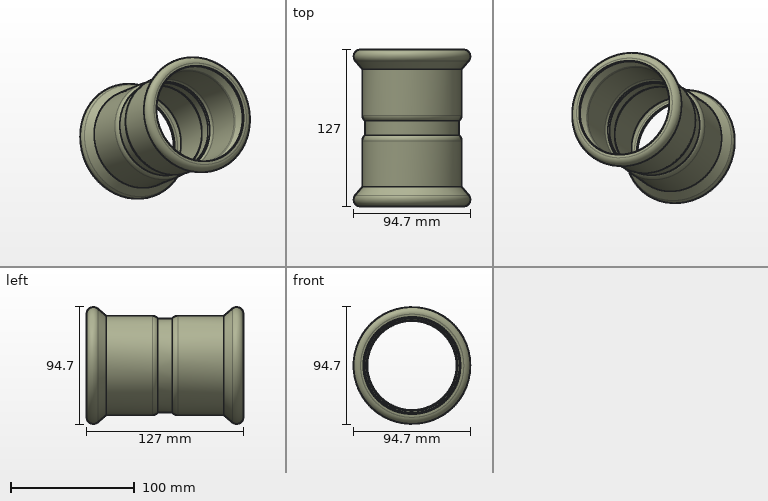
import cadquery as cq
import math


length = 127.0
half_length = length / 2
collar_end_depth = 15.9
body_end_depth = 53.2
shoulder_length = 4.6
waist_start_depth = body_end_depth + shoulder_length

body_radius = 80.7 / 2
socket_radius = 76.7 / 2
wall = body_radius - socket_radius

bead_outer_radius = 94.7 / 2
bead_round_radius = 5.6
mouth_radius = 78.2 / 2
mouth_chamfer = 0.3
bead_centre = (bead_outer_radius - bead_round_radius, bead_round_radius)

waist_radius = 76.1 / 2
waist_bore_radius = 71.98 / 2

shoulder_drop = body_radius - waist_radius
shoulder_arc_radius = (shoulder_drop**2 + shoulder_length**2) / (2 * shoulder_drop)
shoulder_sweep = math.asin(shoulder_length / shoulder_arc_radius)
shoulder_centre = (body_radius - shoulder_arc_radius, body_end_depth)


def collar_normal_angle():
    """Angle, from the radial direction towards the socket, of the normal of the collar cone.

    The cone leaves the bead round tangentially and ends on the body's outside.
    """
    radial = body_radius - bead_centre[0]
    axial = collar_end_depth - bead_centre[1]
    corner_angle = math.atan2(axial, radial)
    return corner_angle - math.acos(bead_round_radius / math.hypot(radial, axial))


def arc_point(centre, radius, angle):
    """Section point (radius, Y) on an arc; the angle runs from radial towards the socket."""
    centre_radius, centre_depth = centre
    return section_point(
        centre_radius + radius * math.cos(angle),
        centre_depth + radius * math.sin(angle),
    )


def section_point(radius, depth):
    """Section point (radius, Y) at a depth from the -Y end face."""
    return radius, depth - half_length


def make_socket():
    """The socket at the -Y end, from its mouth to the end of its shoulder."""
    normal = collar_normal_angle()
    bead_middle = (normal - math.pi / 2) / 2
    groove_round_radius = bead_round_radius - wall
    collar_corner = (body_radius, collar_end_depth)
    shoulder_inner_arc_radius = shoulder_arc_radius - wall
    shoulder_middle = shoulder_sweep / 2
    shoulder_inner_end = arc_point(shoulder_centre, shoulder_inner_arc_radius, shoulder_sweep)

    section = (
        cq.Workplane("XY")
        .moveTo(*section_point(mouth_radius, mouth_chamfer))
        .lineTo(*section_point(mouth_radius + mouth_chamfer, 0))
        .lineTo(*section_point(bead_centre[0], 0))
        .threePointArc(
            arc_point(bead_centre, bead_round_radius, bead_middle),
            arc_point(bead_centre, bead_round_radius, normal),
        )
        .lineTo(*section_point(*collar_corner))
        .lineTo(*section_point(body_radius, body_end_depth))
        .threePointArc(
            arc_point(shoulder_centre, shoulder_arc_radius, shoulder_middle),
            section_point(waist_radius, waist_start_depth),
        )
        .lineTo(*section_point(waist_bore_radius, waist_start_depth))
        .lineTo(*shoulder_inner_end)
        .threePointArc(
            arc_point(shoulder_centre, shoulder_inner_arc_radius, shoulder_middle),
            section_point(socket_radius, body_end_depth),
        )
        .lineTo(*section_point(socket_radius, collar_end_depth))
        .threePointArc(
            arc_point(collar_corner, -wall, normal / 2),
            arc_point(collar_corner, -wall, normal),
        )
        .lineTo(*arc_point(bead_centre, groove_round_radius, normal))
        .threePointArc(
            arc_point(bead_centre, groove_round_radius, bead_middle),
            section_point(bead_centre[0], wall),
        )
        .lineTo(*section_point(mouth_radius + mouth_chamfer, wall))
        .lineTo(*section_point(mouth_radius, wall - mouth_chamfer))
        .close()
    )
    return section.revolve(360, (0, 0, 0), (0, 1, 0))


def make_waist():
    """The plain ring that joins the two sockets."""
    waist_length = length - 2 * waist_start_depth
    ring = cq.Workplane("XZ", origin=(0, waist_length / 2, 0)).circle(waist_radius).circle(waist_bore_radius)
    return ring.extrude(waist_length)


socket = make_socket()
result = make_waist().union(socket).union(socket.mirror("XZ"))